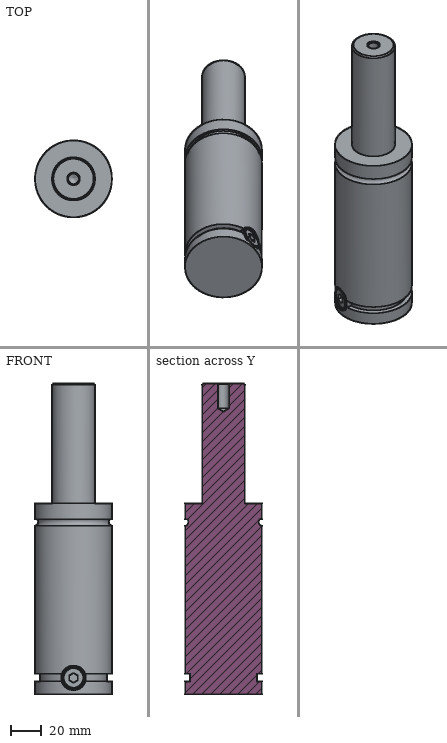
import cadquery as cq
import math

total_height = 202.0
body_radius = 50.0 / 2
body_height = 124.0

rod_radius = 28.0 / 2
rod_chamfer = 1.0

hole_diameter = 6.9
hole_mouth_diameter = 8.3
hole_depth = 16.2
drill_tip_angle = 118.0

base_groove_bottom = 8.5
base_groove_top = 13.3
base_groove_radius = 21.8

collar_thickness = 10.3
collar_groove_height = 4.2
collar_groove_ledge_radius = 23.6
collar_groove_waist_radius = 23.0
collar_groove_waist_drop = 1.8

plug_diameter = 16.0
plug_step_diameter = 14.0
plug_chamfer = 0.6
plug_height = 10.7
plug_recess = 0.6
plug_root_distance = 18.2
hex_width = 5.5
hex_depth = 3.0


def make_cylinder_and_rod():
    """Revolve the half outline of the body, its grooves and the rod."""
    collar_bottom = body_height - collar_thickness
    waist = (collar_groove_waist_radius, collar_bottom - collar_groove_waist_drop)
    outline = (
        cq.Workplane("XZ")
        .moveTo(0, 0)
        .lineTo(body_radius, 0)
        .lineTo(body_radius, base_groove_bottom)
        .lineTo(base_groove_radius, base_groove_bottom)
        .lineTo(base_groove_radius, base_groove_top)
        .lineTo(body_radius, base_groove_top)
        .lineTo(body_radius, collar_bottom - collar_groove_height)
        .threePointArc(waist, (collar_groove_ledge_radius, collar_bottom))
        .lineTo(body_radius, collar_bottom)
        .lineTo(body_radius, body_height)
        .lineTo(rod_radius, body_height)
        .lineTo(rod_radius, total_height - rod_chamfer)
        .lineTo(rod_radius - rod_chamfer, total_height)
        .lineTo(0, total_height)
        .close()
    )
    return outline.revolve(360, (0, 0, 0), (0, 1, 0))


def make_rod_hole():
    """Blind drilled hole with a chamfered mouth and a conical tip."""
    hole_radius = hole_diameter / 2
    mouth_radius = hole_mouth_diameter / 2
    mouth_chamfer = mouth_radius - hole_radius
    tip_length = hole_radius / math.tan(math.radians(drill_tip_angle / 2))
    hole_bottom = total_height - hole_depth
    return (
        cq.Workplane("XZ")
        .moveTo(0, total_height)
        .lineTo(mouth_radius, total_height)
        .lineTo(hole_radius, total_height - mouth_chamfer)
        .lineTo(hole_radius, hole_bottom)
        .lineTo(0, hole_bottom - tip_length)
        .close()
        .revolve(360, (0, 0, 0), (0, 1, 0))
    )


def plug_plane(distance):
    """Plane facing -Y on the plug axis, at a distance from the body axis."""
    return cq.Workplane("XZ", origin=(0, -distance, plug_height))


def make_plug_pocket():
    """Round pocket that runs out through the body wall."""
    return plug_plane(plug_root_distance).circle(plug_diameter / 2).extrude(body_radius - plug_root_distance)


def make_plug():
    """Plug with a flat rim, a raised bevelled face and a hexagon socket, corners up and down."""
    face_distance = body_radius - plug_recess
    hex_corner_diameter = hex_width / math.cos(math.pi / 6)
    rim_distance = face_distance - plug_chamfer
    flange = plug_plane(plug_root_distance).circle(plug_diameter / 2).extrude(rim_distance - plug_root_distance)
    raised_face = (
        plug_plane(rim_distance)
        .circle(plug_step_diameter / 2)
        .extrude(plug_chamfer, taper=45)
    )
    socket = (
        plug_plane(face_distance - hex_depth)
        .transformed(rotate=(0, 0, 30))
        .polygon(6, hex_corner_diameter)
        .extrude(hex_depth)
    )
    return flange.union(raised_face).cut(socket)


body = make_cylinder_and_rod().cut(make_rod_hole())
result = body.cut(make_plug_pocket()).union(make_plug())